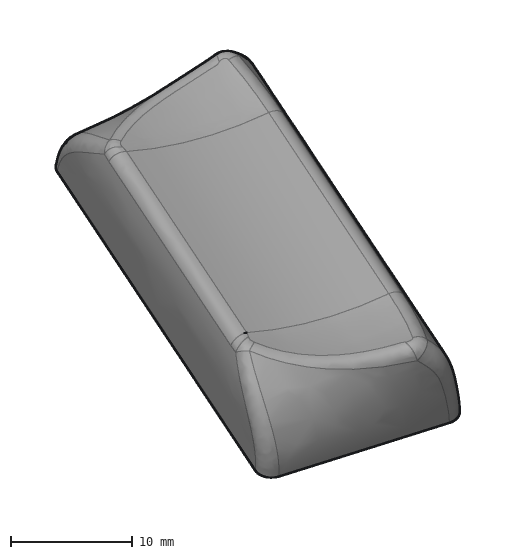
import cadquery as cq
import math

LENGTH = 42.2
WIDTH = 18.4
HALF_LENGTH = LENGTH / 2
HALF_WIDTH = WIDTH / 2

WALL_SECTIONS = [
    (0.0, HALF_WIDTH, -HALF_WIDTH, HALF_LENGTH, HALF_LENGTH, 0.0),
    (2.1, 9.05, -9.0, 20.95, 20.5, 0.1),
    (4.2, 8.77, -8.77, 20.8, 18.9, 0.42),
    (5.9, 8.23, -8.45, 20.63, 16.7, 0.95),
    (7.15, 7.35, -7.97, 20.4, 14.5, 1.4),
    (8.85, 5.8, -7.3, 20.05, 11.8, 1.7),
]

CORNER_RADIUS = 1.48
RIM_RADIUS = 1.25
RIM_LOWEST_Z = 6.33

DISH_HALF_STRAIGHT = 11.9
DISH_FRONT_Y = -6.55
DISH_FRONT_Z = 7.95
DISH_BACK_Y = 6.3
DISH_BACK_Z = 7.2
DISH_SAG = 0.8
DISH_RISE_RADIUS = 21.95
DISH_RISE_ANGLE = 25.0
DISH_CUT_TOP = 16.87


def wall_section(height, back_y, front_y, back_x, front_x, bulge):
    """Horizontal trapezoid whose two end sides bow outwards."""
    middle_x = (back_x + front_x) / 2 + bulge
    middle_y = (back_y + front_y) / 2
    back_left = cq.Vector(-back_x, back_y, height)
    back_right = cq.Vector(back_x, back_y, height)
    front_left = cq.Vector(-front_x, front_y, height)
    front_right = cq.Vector(front_x, front_y, height)
    left_control = cq.Vector(-middle_x, middle_y, height)
    right_control = cq.Vector(middle_x, middle_y, height)
    edges = [
        cq.Edge.makeLine(front_left, front_right),
        cq.Edge.makeBezier([front_right, right_control, back_right]),
        cq.Edge.makeLine(back_right, back_left),
        cq.Edge.makeBezier([back_left, left_control, front_left]),
    ]
    return cq.Wire.assembleEdges(edges)


def outer_body():
    sections = [wall_section(*section) for section in WALL_SECTIONS]
    body = cq.Workplane(obj=cq.Solid.makeLoft(sections))
    corners = body.edges("not(#Z or <Z or >Z)")
    return corners.fillet(CORNER_RADIUS)


def dish_profile():
    """YZ cross-section of the space above the dish arc, at the left end of the straight part."""
    chord_y = DISH_BACK_Y - DISH_FRONT_Y
    chord_z = DISH_BACK_Z - DISH_FRONT_Z
    chord = math.hypot(chord_y, chord_z)
    radius = (chord**2 / 4 + DISH_SAG**2) / (2 * DISH_SAG)
    centre_offset = radius - DISH_SAG
    centre_y = (DISH_FRONT_Y + DISH_BACK_Y) / 2 - centre_offset * chord_z / chord
    centre_z = (DISH_FRONT_Z + DISH_BACK_Z) / 2 + centre_offset * chord_y / chord

    def on_arc(y):
        return (y, centre_z - math.sqrt(radius**2 - (y - centre_y) ** 2))

    return (
        cq.Workplane("YZ", origin=(-DISH_HALF_STRAIGHT, 0, 0))
        .moveTo(*on_arc(-HALF_WIDTH))
        .threePointArc(on_arc(0), on_arc(HALF_WIDTH))
        .lineTo(HALF_WIDTH, DISH_CUT_TOP)
        .lineTo(-HALF_WIDTH, DISH_CUT_TOP)
        .close()
    )


def dish_cutter():
    straight = dish_profile().extrude(2 * DISH_HALF_STRAIGHT)
    axis_z = DISH_BACK_Z + DISH_RISE_RADIUS
    left = dish_profile().revolve(DISH_RISE_ANGLE, (0, axis_z, 0), (1, axis_z, 0))
    right = left.mirror("YZ")
    return straight.union(left).union(right)


def round_rim(body):
    """The rim is smooth all round, so the fillet runs on from its front edge."""
    rim_zone = cq.selectors.BoxSelector(
        (-HALF_LENGTH, -HALF_WIDTH, RIM_LOWEST_Z),
        (HALF_LENGTH, HALF_WIDTH, DISH_CUT_TOP),
    )
    front_edge = body.edges(rim_zone).edges("<Y")
    return front_edge.fillet(RIM_RADIUS)


result = round_rim(outer_body().cut(dish_cutter()))